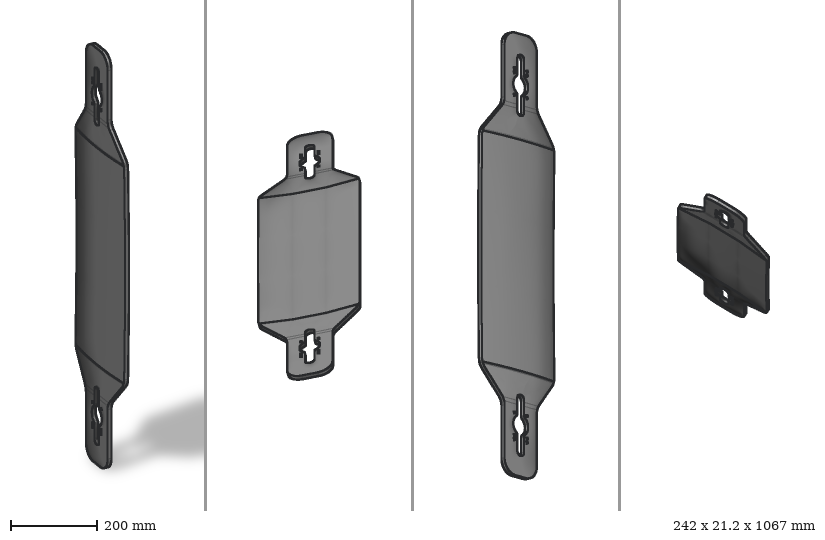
import cadquery as cq

length = 1067.0
deck_half_width = 121.0
neck_half_width = 53.9
thickness = 11.0
half_length = length / 2

deck_corner_z = 282.0
neck_corner_z = 358.0
shoulder_radius = 34.0
tip_radius = 35.0

crease_z = 278.0
crease_band = 4.0
bend_z = 362.0
bend_band = 10.0
deck_base = 0.5
bow_height = 2.7
concave_depth = 7.0
blank_half_width = 124.0
bend_half_width = 60.0
blank_edge_rise = concave_depth * (blank_half_width / deck_half_width) ** 2

truck_z = 410.0
slot_length = 147.0
slot_width = 22.0
cutout_radius = 25.0
cutout_fillet = 9.0
bolt_diameter = 5.0
bolt_x = 20.8
bolt_rows = (383.0, 437.0, 447.0)


def strip_section(z, half_width, base_y, edge_rise):
    """Board cross-section at height z, curved so that its edges rise above its middle."""
    edge_y = base_y + edge_rise
    start = cq.Workplane("XY", origin=(0, 0, z)).moveTo(-half_width, edge_y)
    if edge_rise == 0:
        lower = start.lineTo(half_width, edge_y)
        upper = lower.lineTo(half_width, edge_y + thickness).lineTo(-half_width, edge_y + thickness)
    else:
        lower = start.threePointArc((0, base_y), (half_width, edge_y))
        upper = lower.lineTo(half_width, edge_y + thickness).threePointArc(
            (0, base_y + thickness), (-half_width, edge_y + thickness)
        )
    return upper.close()


def make_deck():
    """Concave strip revolved about a distant crosswise axis to bow it lengthwise."""
    bow_radius = (crease_z**2 + bow_height**2) / (2 * bow_height)
    middle_y = deck_base + bow_height
    axis_y = middle_y - bow_radius
    sweep_angle = 4.0
    deck = strip_section(0, blank_half_width, middle_y, blank_edge_rise).revolve(
        sweep_angle, (0, axis_y), (1, axis_y)
    )
    deck = deck.rotate((0, axis_y, 0), (1, axis_y, 0), -sweep_angle / 2)
    return deck.intersect(cq.Workplane("XY").box(length, length, 2 * crease_z))


def transition_section(z, bend_share):
    """Section between the deck end (bend share 1) and the flat neck (bend share 0)."""
    half_width = bend_half_width + (blank_half_width - bend_half_width) * bend_share
    return strip_section(z, half_width, deck_base * bend_share, blank_edge_rise * bend_share).val()


def make_transition():
    """Ruled blend from the concave deck end to the flat neck, eased at both ends."""
    slope_start = crease_z + crease_band / 2
    slope_end = bend_z - bend_band / 2
    slope_length = slope_end - slope_start
    sections = [
        transition_section(crease_z, 1),
        transition_section(crease_z + crease_band, 1 - crease_band / 2 / slope_length),
        transition_section(bend_z - bend_band, bend_band / 2 / slope_length),
        transition_section(bend_z, 0),
    ]
    return cq.Workplane(cq.Solid.makeLoft(sections, True))


def make_neck():
    neck_length = half_length - bend_z
    return cq.Workplane("XY", origin=(0, 0, bend_z)).box(
        2 * blank_half_width, thickness, neck_length, centered=(True, False, False)
    )


def make_outline():
    """Front outline of the board as a prism with rounded corners."""
    right_side = [
        (neck_half_width, -half_length),
        (neck_half_width, -neck_corner_z),
        (deck_half_width, -deck_corner_z),
        (deck_half_width, deck_corner_z),
        (neck_half_width, neck_corner_z),
        (neck_half_width, half_length),
    ]
    left_side = [(-x, z) for x, z in reversed(right_side)]
    prism = cq.Workplane("XZ").polyline(right_side + left_side).close().extrude(length / 2, both=True)
    shoulders = cq.selectors.BoxSelector(
        (-length, -length, -neck_corner_z - shoulder_radius),
        (length, length, neck_corner_z + shoulder_radius),
    )
    prism = prism.edges("|Y").edges(shoulders).fillet(shoulder_radius)
    prism = prism.faces("<Z or >Z").edges("|Y").fillet(tip_radius)
    return prism


def make_truck_cutout():
    """Slot with a round centre, and the bolt holes beside it."""
    front = cq.Workplane("XZ")
    slot = front.center(0, truck_z).slot2D(slot_length, slot_width, 90).extrude(length, both=True)
    middle = front.center(0, truck_z).circle(cutout_radius).extrude(length, both=True)
    bolt_points = [(side * bolt_x, z) for z in bolt_rows for side in (-1, 1)]
    bolts = front.pushPoints(bolt_points).circle(bolt_diameter / 2).extrude(length, both=True)
    junctions = cq.selectors.BoxSelector(
        (-slot_width, -2 * length, truck_z - cutout_radius),
        (slot_width, 2 * length, truck_z + cutout_radius),
    )
    opening = slot.union(middle).edges("|Y").edges(junctions).fillet(cutout_fillet)
    return opening.union(bolts)


board_end = make_transition().union(make_neck())
blank = make_deck().union(board_end).union(board_end.mirror("XY"))

cutout = make_truck_cutout()
result = blank.intersect(make_outline()).cut(cutout).cut(cutout.mirror("XY"))